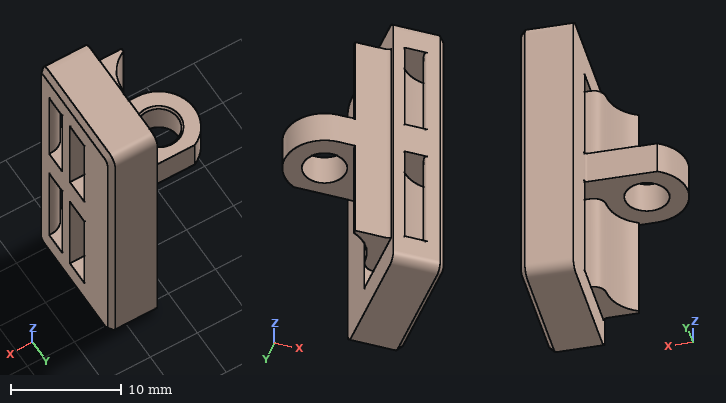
import cadquery as cq
import math


frame_depth = 5.0
frame_width = 12.5
frame_height = 28.7
corner_radius = 1.0
back_chamfer = 0.5

rim_height = 3.0
side_wall = 0.5
window_far_y = 8.0
window_height = frame_height - 2 * rim_height

lug_bottom_z = -1.14
lug_top_z = 2.12
pivot_to_frame = 5.0
lug_radius = 3.83
lug_near_y = 0.77
pivot_y = lug_near_y + lug_radius
hole_diameter = 4.1
hole_chamfer = 0.2
lug_root_radius = 0.28

spine_reach = 3.4
spine_tip_y = 5.5
spine_root_radius = 0.7
spine_root_length = 0.5
tip_radius = 1.18
tip_center_y = spine_tip_y - tip_radius

slot_near_x = 1.07
slot_far_x = 3.25
slot_edge_radius = 0.2
lip_radius = 1.7
channel_radius = frame_depth - slot_near_x


def block(x_range, y_range, z_range):
    """Box between pairs of limits."""
    size = [high - low for low, high in (x_range, y_range, z_range)]
    corner = cq.Vector(x_range[0], y_range[0], z_range[0])
    return cq.Workplane(obj=cq.Solid.makeBox(*size, corner))


def window_prism(outline):
    """Extrude an XY outline over the height of the window."""
    return outline.extrude(window_height).translate((0, 0, -window_height / 2))


def make_frame():
    half_height = frame_height / 2
    frame = block((0, frame_depth), (0, frame_width), (-half_height, half_height))
    frame = frame.edges("|X").fillet(corner_radius).faces(">X").chamfer(back_chamfer)
    half_window = window_height / 2
    return frame.cut(
        block((0, frame_depth), (side_wall, window_far_y), (-half_window, half_window))
    )


def make_slots():
    """Openings in the side wall above and below the web."""
    half_window = window_height / 2
    x_range = (slot_near_x, slot_far_x)
    y_range = (0, side_wall)
    upper = block(x_range, y_range, (lug_top_z, half_window))
    lower = block(x_range, y_range, (-half_window, lug_bottom_z))
    return upper.union(lower)


def make_spine():
    """Spine in front of the frame, with the outer wall of the channel behind it."""
    clearance_radius = math.hypot(pivot_to_frame - tip_radius, pivot_y - tip_center_y)
    edge_y = pivot_y - math.sqrt(clearance_radius**2 - (pivot_to_frame - spine_reach) ** 2)
    edge_angle = math.atan2(edge_y - pivot_y, pivot_to_frame - spine_reach)
    tip_angle = math.atan2(tip_center_y - pivot_y, pivot_to_frame - tip_radius)
    middle_angle = (edge_angle + tip_angle) / 2
    clearance_middle = (
        clearance_radius * math.cos(middle_angle) - pivot_to_frame,
        clearance_radius * math.sin(middle_angle) + pivot_y,
    )

    root_angle = math.asin(spine_root_length / spine_root_radius)
    root_center_y = lug_near_y - spine_root_radius
    root_middle = (
        spine_root_radius * math.sin(root_angle / 2) - spine_root_length,
        spine_root_radius * math.cos(root_angle / 2) + root_center_y,
    )
    root_end = (0, spine_root_radius * math.cos(root_angle) + root_center_y)

    diagonal = math.sqrt(0.5)
    channel_middle = (
        frame_depth - diagonal * channel_radius,
        slot_edge_radius + diagonal * channel_radius,
    )
    outline = (
        cq.Workplane()
        .moveTo(-spine_reach, lug_near_y)
        .lineTo(-spine_root_length, lug_near_y)
        .threePointArc(root_middle, root_end)
        .lineTo(0, slot_edge_radius)
        .lineTo(slot_near_x, slot_edge_radius)
        .threePointArc(channel_middle, (frame_depth, slot_edge_radius + channel_radius))
        .lineTo(frame_depth, spine_tip_y)
        .lineTo(0, spine_tip_y)
        .threePointArc(
            (-diagonal * tip_radius, tip_center_y + diagonal * tip_radius),
            (-tip_radius, tip_center_y),
        )
        .threePointArc(clearance_middle, (-spine_reach, edge_y))
        .close()
    )
    return window_prism(outline)


def make_lip():
    """Rounded inner wall of the channel, along the far edge of the slots."""
    lip_x = slot_far_x - slot_edge_radius
    lip_top = slot_edge_radius + lip_radius
    outline = (
        cq.Workplane()
        .moveTo(slot_far_x, 0)
        .radiusArc((lip_x, slot_edge_radius), slot_edge_radius)
        .radiusArc((lip_x + lip_radius, lip_top), lip_radius)
        .lineTo(frame_depth, lip_top)
        .lineTo(frame_depth, back_chamfer)
        .lineTo(frame_depth - back_chamfer, 0)
        .close()
    )
    return window_prism(outline)


def make_lug():
    """Pivot lug whose web runs through the window to the back of the frame."""
    z_range = (lug_bottom_z, lug_top_z)
    height = lug_top_z - lug_bottom_z
    eye = cq.Workplane(origin=(-pivot_to_frame, pivot_y, lug_bottom_z))
    arm = block((-pivot_to_frame - lug_radius, 0), (lug_near_y, window_far_y), z_range)
    beyond_pivot = block(
        (-pivot_to_frame - lug_radius, -pivot_to_frame),
        (lug_near_y, pivot_y + lug_radius),
        z_range,
    )
    round_end = eye.circle(lug_radius).extrude(height)
    arm = arm.cut(beyond_pivot.cut(round_end))
    web = block((0, frame_depth), (side_wall, window_far_y), z_range)
    root = (
        cq.Workplane(origin=(0, 0, lug_bottom_z))
        .moveTo(0, window_far_y)
        .lineTo(-lug_root_radius, window_far_y)
        .radiusArc((0, window_far_y + lug_root_radius), -lug_root_radius)
        .close()
        .extrude(height)
    )
    return arm.union(web).union(root)


def make_hole():
    """Pivot hole with a chamfered upper rim."""
    hole_radius = hole_diameter / 2
    rim_radius = hole_radius + hole_chamfer
    profile = (
        cq.Workplane("XZ", origin=(-pivot_to_frame, pivot_y, 0))
        .moveTo(0, lug_bottom_z)
        .lineTo(hole_radius, lug_bottom_z)
        .lineTo(hole_radius, lug_top_z - hole_chamfer)
        .lineTo(rim_radius, lug_top_z)
        .lineTo(0, lug_top_z)
        .close()
    )
    return profile.revolve(360, (0, 0, 0), (0, 1, 0))


result = (
    make_frame()
    .cut(make_slots())
    .union(make_spine())
    .union(make_lip())
    .union(make_lug())
    .cut(make_hole())
)